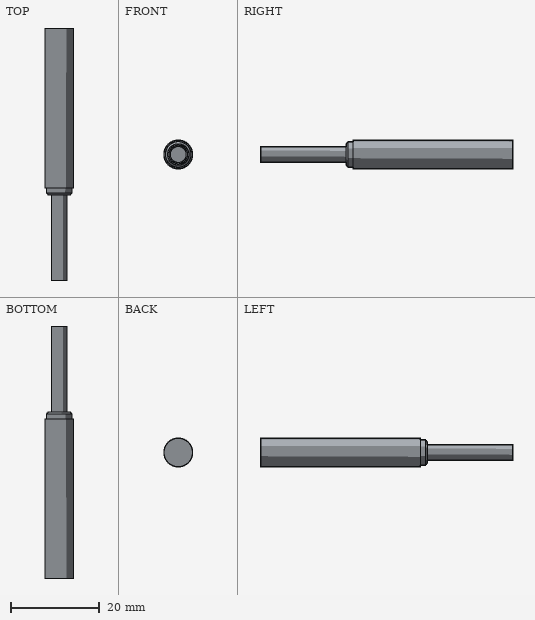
import cadquery as cq

total_length = 56.85
body_diameter = 6.5
body_length = 36.0
collar_diameter = 5.8
collar_length = 1.6
pin_diameter = 3.6

rim_chamfer = 0.5
countersink_diameter = 4.2
countersink_depth = 0.3

body_radius = body_diameter / 2
collar_radius = collar_diameter / 2
pin_radius = pin_diameter / 2
countersink_radius = countersink_diameter / 2
shoulder_y = total_length - body_length
collar_front_y = shoulder_y - collar_length


def cylinder_along_y(radius, start_y, end_y):
    """Solid cylinder on the Y axis between two stations."""
    disc = cq.Workplane("XZ", origin=(0, start_y, 0)).circle(radius)
    return disc.extrude(start_y - end_y)


def make_collar():
    """Collar with a chamfered outer rim and a conical countersink around the pin."""
    collar = cylinder_along_y(collar_radius, collar_front_y, shoulder_y)
    collar = collar.faces("<Y").edges().chamfer(rim_chamfer)
    profile = (
        cq.Workplane("XY")
        .moveTo(0, collar_front_y)
        .lineTo(countersink_radius, collar_front_y)
        .lineTo(pin_radius, collar_front_y + countersink_depth)
        .lineTo(0, collar_front_y + countersink_depth)
        .close()
    )
    countersink = profile.revolve(360, (0, 0, 0), (0, 1, 0))
    return collar.cut(countersink)


body = cylinder_along_y(body_radius, shoulder_y, total_length)
pin = cylinder_along_y(pin_radius, 0, shoulder_y)

result = body.union(make_collar()).union(pin)